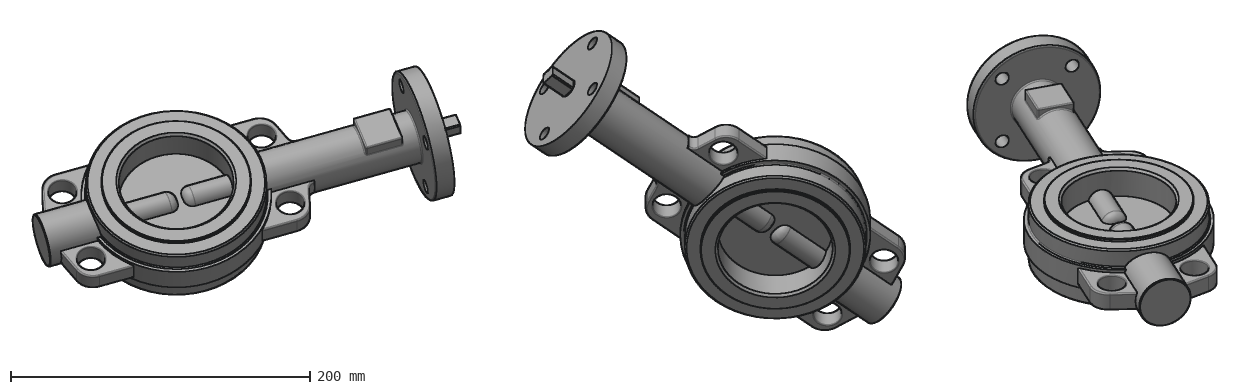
import cadquery as cq
import math


ring_radius = 60.5
ring_half_height = 22.7
ring_chamfer = 1.2
belt_radius = 63.52
belt_half_height = 8.8
root_fillet = 1.0

liner_radius = 50.0
liner_half_height = 24.8
liner_chamfer = 0.5
bore_radius = 38.3
bore_chamfer = 1.8
disc_half_thickness = 3.0
boss_radius = 9.0
upper_boss_end_y = 4.5
lower_boss_end_y = 0.3
boss_end_fillet = 6.2

neck_radius = 18.3
neck_bottom_y = -95.5
neck_bottom_chamfer = 0.5
flange_top_y = 181.3
flange_thickness = 13.5
flange_radius = 44.95
flange_chamfer = 1.0
flange_hole_radius = 4.7
flange_hole_offset = 24.8

lug_half_width = 44.5
lug_half_thickness = 6.63
lug_shoulder_y = 80.0
lug_slope = math.tan(math.radians(16))
lug_corner_radius = 13.3
lug_edge_fillet = 1.03
lug_neck_fillet = 5.0
lug_web_height = 4.0
lug_hole_radius = 9.5
lug_hole_fillet = 0.5
lug_hole_x = 29.2
lug_hole_y = 70.5

plate_width = 26.0
plate_length = 26.0
plate_center_y = 142.7
plate_top_z = 21.0
plate_fillet = 1.0

stem_top_y = 199.3
drive_square = 10.0
drive_chamfer = 1.0
stem_radius = math.hypot(drive_square / 2, drive_square / 2 - drive_chamfer)
stem_bottom_y = 14.7


def disk_z(radius, half_height):
    """Solid cylinder along Z, centred on the origin."""
    return cq.Workplane("XY", origin=(0, 0, -half_height)).circle(radius).extrude(2 * half_height)


def rod_y(radius, start_y, end_y):
    """Solid cylinder along Y between two stations."""
    return (
        cq.Workplane("XZ", origin=(0, start_y, 0))
        .circle(radius)
        .extrude(start_y - end_y)
    )


def make_lugs():
    """One plate through the flow ring whose four corners form the drilled lugs."""
    apex_y = lug_shoulder_y + lug_half_width * lug_slope
    plate = (
        cq.Workplane("XY")
        .polyline([
            (lug_half_width, -lug_shoulder_y),
            (lug_half_width, lug_shoulder_y),
            (0, apex_y),
            (-lug_half_width, lug_shoulder_y),
            (-lug_half_width, -lug_shoulder_y),
            (0, -apex_y),
        ])
        .close()
        .extrude(lug_half_thickness, both=True)
    )
    web_base_y = apex_y - neck_radius * lug_slope
    web = (
        cq.Workplane("XY")
        .rect(2 * neck_radius, 4 * lug_web_height)
        .extrude(lug_half_thickness, both=True)
        .translate((0, web_base_y + lug_web_height, 0))
    )
    plate = plate.edges("|Z").edges("<X or >X").fillet(lug_corner_radius)
    neck_corner = cq.selectors.BoxSelector(
        (-neck_radius - 0.3, web_base_y - 0.3, -belt_half_height),
        (neck_radius + 0.3, web_base_y + 0.3, belt_half_height),
    )
    plate = plate.union(web).edges(neck_corner).edges("|Z").fillet(lug_neck_fillet)
    plate = plate.faces("<Z or >Z").edges().fillet(lug_edge_fillet)
    above_webs = (
        cq.Workplane("XY", origin=(0, web_base_y + 3 * lug_web_height, 0))
        .rect(2 * lug_half_width, 4 * lug_web_height)
        .extrude(belt_half_height, both=True)
    )
    plate = plate.cut(above_webs)
    return (
        plate.faces(">Z").workplane(origin=(0, 0, lug_half_thickness))
        .rect(2 * lug_hole_x, 2 * lug_hole_y, forConstruction=True)
        .vertices()
        .hole(2 * lug_hole_radius)
        .edges("%CIRCLE").edges(cq.selectors.BoxSelector(
            (-lug_hole_x - 0.3, -lug_hole_y - 0.3, -belt_half_height),
            (lug_hole_x + 0.3, lug_hole_y + 0.3, belt_half_height),
        ))
        .fillet(lug_hole_fillet)
    )


def make_flange():
    return (
        rod_y(flange_radius, flange_top_y - flange_thickness, flange_top_y)
        .faces("<Y").edges().chamfer(flange_chamfer)
        .faces(">Y").workplane(centerOption="CenterOfBoundBox")
        .rect(2 * flange_hole_offset, 2 * flange_hole_offset, forConstruction=True)
        .vertices()
        .hole(2 * flange_hole_radius)
    )


def make_name_plate():
    return (
        cq.Workplane("XY", origin=(0, plate_center_y, 0))
        .rect(plate_width, plate_length)
        .extrude(plate_top_z)
        .edges("|Z or >Z").fillet(plate_fillet)
    )


def make_flow_ring():
    """Cylinder with a raised belt around its middle, filleted where the belt rises."""
    return (
        disk_z(ring_radius, ring_half_height)
        .edges().chamfer(ring_chamfer)
        .union(disk_z(belt_radius, belt_half_height))
        .edges(cq.selectors.BoxSelector(
            (-ring_radius, -ring_radius, -belt_half_height - 0.3),
            (ring_radius, ring_radius, belt_half_height + 0.3),
        ))
        .edges(cq.selectors.RadiusNthSelector(0)).fillet(root_fillet)
    )


def make_necks():
    """Actuator neck with its flange and name plate, running on as the blind lower trunnion."""
    neck = (
        rod_y(neck_radius, neck_bottom_y, flange_top_y)
        .faces("<Y").edges().chamfer(neck_bottom_chamfer)
        .union(make_flange())
        .union(make_name_plate())
    )
    flange_bottom_y = flange_top_y - flange_thickness
    neck_root = cq.selectors.BoxSelector(
        (-neck_radius, flange_bottom_y - 0.3, -neck_radius),
        (neck_radius, flange_bottom_y + 0.3, neck_radius),
    )
    half_width = plate_width / 2
    half_length = plate_length / 2
    plate_root = cq.selectors.BoxSelector(
        (-half_width - 0.3, plate_center_y - half_length - 0.3, neck_radius / 2),
        (half_width + 0.3, plate_center_y + half_length + 0.3, neck_radius + 0.03),
    )
    return neck.edges(neck_root).fillet(root_fillet).edges(plate_root).edges("not |Z").fillet(root_fillet)


def make_housing():
    return (
        make_flow_ring()
        .union(make_lugs())
        .union(make_necks())
        .cut(disk_z(liner_radius, ring_half_height))
        .cut(rod_y(stem_radius, 0, flange_top_y))
    )


def make_liner():
    return (
        disk_z(liner_radius, liner_half_height)
        .edges().chamfer(liner_chamfer)
        .cut(disk_z(bore_radius, liner_half_height))
        .edges(cq.selectors.RadiusNthSelector(0)).chamfer(bore_chamfer)
        .cut(rod_y(stem_radius, 0, flange_top_y))
    )


def make_disc():
    """Flat disc that fills the bore, with a round-ended stem boss from each side."""
    upper_boss = (
        rod_y(boss_radius, upper_boss_end_y, bore_radius)
        .faces("<Y").edges().fillet(boss_end_fillet)
    )
    lower_boss = (
        rod_y(boss_radius, -bore_radius, lower_boss_end_y)
        .faces(">Y").edges().fillet(boss_end_fillet)
    )
    bosses = upper_boss.union(lower_boss)
    return (
        disk_z(bore_radius, disc_half_thickness)
        .union(bosses.intersect(disk_z(bore_radius, liner_half_height)))
        .cut(rod_y(stem_radius, stem_bottom_y, flange_top_y))
    )


def make_stem():
    """Round shaft seated in the upper boss, with a square drive end above the flange."""
    drive_length = stem_top_y - flange_top_y
    drive_end = (
        cq.Workplane("XY")
        .box(drive_square, drive_length, drive_square)
        .edges("|Y").chamfer(drive_chamfer)
        .translate((0, flange_top_y + drive_length / 2, 0))
    )
    return rod_y(stem_radius, stem_bottom_y, flange_top_y).union(drive_end)


housing = make_housing()
liner = make_liner()
disc = make_disc()
stem = make_stem()

result = cq.Compound.makeCompound([housing.val(), liner.val(), disc.val(), stem.val()])